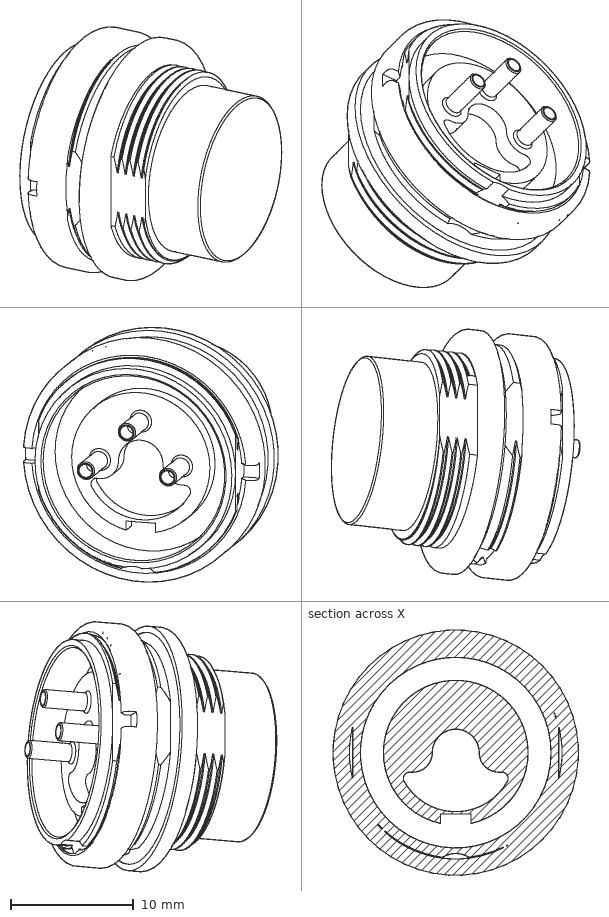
import cadquery as cq
import math


LIP_END_X = 1.0
NUT_REAR_X = 1.47
NUT_FRONT_X = 4.45
RELIEF_X = 5.2
SEAL_X = 6.05
FLANGE_REAR_X = 6.45
FLANGE_FRONT_X = 7.95
THREAD_END_X = 11.18
BARREL_END_X = 15.95

LIP_RADIUS = 8.4
RELIEF_RADIUS = 8.65
FLANGE_RADIUS = 10.0
SEAL_RADIUS = 9.47
SEAL_ROUND = 0.35
BARREL_RADIUS = 13.8 / 2
BARREL_CHAMFER = 0.15
RIM_FILLET = 0.5

PITCH = 0.75
THREAD_DEPTH = 0.4
CREST_FLAT = 0.1
ROOT_FLAT = 0.1
CUT_CLEARANCE = 0.05
REAR_CREST_RADIUS = 9.0
REAR_GROOVE_X = 1.07
REAR_GROOVE_START = -90.0
REAR_TURNS = 5.25
REAR_FLAT_Y = 8.4
FRONT_CREST_RADIUS = 8.0
FRONT_GROOVE_X = 8.31
FRONT_GROOVE_START = 30.0
FRONT_TURNS = 4.75
FRONT_FLAT_Y = 7.4
FRONT_CHAMFER_LENGTH = 0.25

KEYWAY_RADIUS = 2.0
KEYWAY_TOP_Z = -8.22

BORE_RADIUS = 15.5 / 2
BORE_CHAMFER = 0.15
FLOOR_X = 3.4

DISC_RADIUS = 5.9
DISC_FACE_X = 2.0
DISC_KEY_WIDTH = 2.48
DISC_KEY_TOP_Z = -5.0
RECESS_DEPTH = 1.5
RECESS_NECK_RADIUS = 1.9
RECESS_OUTER_RADIUS = 4.8
RECESS_CORNER_FILLET = 0.5

PIN_TIP_X = -1.85
PIN_RADIUS = 1.48 / 2
PIN_CHAMFER = 0.1
PIN_CIRCLE_RADIUS = 3.5
PIN_ANGLES = (0, 90, 180)
PIN_FOOT_RADIUS = 0.92
PIN_FOOT_LENGTH = 0.25
PIN_HOLE_RADIUS = 1.1 / 2
PIN_HOLE_DEPTH = 2.0
DRILL_POINT_ANGLE = 118.0

NUT_RADIUS = 10.0
NUT_ROOT_CLEARANCE = 0.05
NUT_BORE_RADIUS = REAR_CREST_RADIUS - THREAD_DEPTH + NUT_ROOT_CLEARANCE
NUT_MOUTH_RADIUS = 18.3 / 2
NUT_SLOT_WIDTH = 1.26
NUT_SLOT_DEPTH = 1.02


def revolve_about_x(points):
    """Closed (x, radius) outline turned about the X axis."""
    return cq.Workplane("XY").polyline(points).close().revolve(360, (0, 0, 0), (1, 0, 0))


def disc_between(start_x, end_x, radius):
    return cq.Workplane("YZ").workplane(offset=start_x).circle(radius).extrude(end_x - start_x)


def slab(start_x, end_x, half_width):
    """Block bounded by the two flats at y = +half_width and y = -half_width."""
    length = end_x - start_x
    height = 2 * FLANGE_RADIUS
    return cq.Workplane("XY").box(length, 2 * half_width, height).translate((start_x + length / 2, 0, 0))


def thread_groove(start_x, start_angle, turns, crest_radius):
    """Helical V groove centred on start_x at its start; start_angle is counted from +Y towards +Z."""
    flank_slope = (PITCH - CREST_FLAT - ROOT_FLAT) / 2 / THREAD_DEPTH
    root_half = ROOT_FLAT / 2
    mouth_half = root_half + flank_slope * (THREAD_DEPTH + CUT_CLEARANCE)
    root_radius = crest_radius - THREAD_DEPTH
    mouth_radius = crest_radius + CUT_CLEARANCE
    helix = cq.Wire.makeHelix(PITCH, PITCH * turns, crest_radius)
    groove = (
        cq.Workplane("XZ")
        .polyline([
            (root_radius, -root_half),
            (mouth_radius, -mouth_half),
            (mouth_radius, mouth_half),
            (root_radius, root_half),
        ])
        .close()
        .sweep(cq.Workplane(helix), isFrenet=True)
    )
    groove = groove.rotate((0, 0, 0), (1, 1, 1), 120)
    groove = groove.rotate((0, 0, 0), (1, 0, 0), start_angle)
    return groove.translate((start_x, 0, 0))


def make_rear_thread():
    body = revolve_about_x([
        (0, 0),
        (0, LIP_RADIUS),
        (LIP_END_X, LIP_RADIUS),
        (LIP_END_X, REAR_CREST_RADIUS),
        (RELIEF_X, REAR_CREST_RADIUS),
        (SEAL_X, RELIEF_RADIUS),
        (SEAL_X, 0),
    ])
    body = body.cut(thread_groove(REAR_GROOVE_X, REAR_GROOVE_START, REAR_TURNS, REAR_CREST_RADIUS))
    keyway = disc_between(0, SEAL_X, KEYWAY_RADIUS).translate((0, 0, KEYWAY_TOP_Z - KEYWAY_RADIUS))
    return body.intersect(slab(0, SEAL_X, REAR_FLAT_Y)).cut(keyway)


def make_flange():
    seal = disc_between(SEAL_X, FLANGE_REAR_X, SEAL_RADIUS).faces("<X").edges().fillet(SEAL_ROUND)
    rim = disc_between(FLANGE_REAR_X, FLANGE_FRONT_X, FLANGE_RADIUS).faces(">X").edges().fillet(RIM_FILLET)
    return rim.union(seal)


def make_front_thread():
    blank_end_x = FRONT_GROOVE_X + PITCH * (FRONT_TURNS + 1)
    body = disc_between(FLANGE_FRONT_X, blank_end_x, FRONT_CREST_RADIUS)
    body = body.cut(thread_groove(FRONT_GROOVE_X, FRONT_GROOVE_START, FRONT_TURNS, FRONT_CREST_RADIUS))
    chamfered_end = revolve_about_x([
        (FLANGE_FRONT_X, 0),
        (FLANGE_FRONT_X, FRONT_CREST_RADIUS),
        (THREAD_END_X - FRONT_CHAMFER_LENGTH, FRONT_CREST_RADIUS),
        (THREAD_END_X, FRONT_CREST_RADIUS - THREAD_DEPTH),
        (THREAD_END_X, 0),
    ])
    envelope = chamfered_end.intersect(slab(FLANGE_FRONT_X, THREAD_END_X, FRONT_FLAT_Y))
    return body.intersect(envelope)


def make_barrel():
    barrel = disc_between(THREAD_END_X, BARREL_END_X, BARREL_RADIUS)
    return barrel.faces(">X").edges().chamfer(BARREL_CHAMFER)


def make_cavity():
    return revolve_about_x([
        (0, 0),
        (0, BORE_RADIUS + BORE_CHAMFER),
        (BORE_CHAMFER, BORE_RADIUS),
        (FLOOR_X, BORE_RADIUS),
        (FLOOR_X, 0),
    ])


def make_disc():
    disc = disc_between(DISC_FACE_X, FLOOR_X, DISC_RADIUS)
    key_slot = (
        cq.Workplane("YZ")
        .workplane(offset=DISC_FACE_X)
        .center(0, DISC_KEY_TOP_Z - DISC_RADIUS / 2)
        .rect(DISC_KEY_WIDTH, DISC_RADIUS)
        .extrude(FLOOR_X - DISC_FACE_X)
    )
    return disc.cut(key_slot)


def make_recess():
    """Bell-shaped pocket that curves round the two side pins."""
    neck = RECESS_NECK_RADIUS
    side_radius = PIN_CIRCLE_RADIUS - neck
    corner_y = math.sqrt(RECESS_OUTER_RADIUS**2 - side_radius**2)
    bend = side_radius * math.sqrt(0.5)
    pocket = (
        cq.Workplane("YZ")
        .workplane(offset=DISC_FACE_X)
        .moveTo(-neck, 0)
        .threePointArc((0, neck), (neck, 0))
        .threePointArc((PIN_CIRCLE_RADIUS - bend, -bend), (PIN_CIRCLE_RADIUS, -side_radius))
        .lineTo(corner_y, -side_radius)
        .threePointArc((0, -RECESS_OUTER_RADIUS), (-corner_y, -side_radius))
        .lineTo(-PIN_CIRCLE_RADIUS, -side_radius)
        .threePointArc((bend - PIN_CIRCLE_RADIUS, -bend), (-neck, 0))
        .close()
        .extrude(RECESS_DEPTH)
    )
    corners = pocket.edges("|X").edges("<Y or >Y")
    return corners.fillet(RECESS_CORNER_FILLET)


def make_pin():
    """Pin on the X axis with a drilled tip and a flared foot on the disc."""
    foot_x = DISC_FACE_X - PIN_FOOT_LENGTH
    hole_end_x = PIN_TIP_X + PIN_HOLE_DEPTH
    point_length = PIN_HOLE_RADIUS / math.tan(math.radians(DRILL_POINT_ANGLE / 2))
    return revolve_about_x([
        (hole_end_x + point_length, 0),
        (hole_end_x, PIN_HOLE_RADIUS),
        (PIN_TIP_X, PIN_HOLE_RADIUS),
        (PIN_TIP_X, PIN_RADIUS - PIN_CHAMFER),
        (PIN_TIP_X + PIN_CHAMFER, PIN_RADIUS),
        (foot_x, PIN_RADIUS),
        (DISC_FACE_X, PIN_FOOT_RADIUS),
        (FLOOR_X, PIN_FOOT_RADIUS),
        (FLOOR_X, 0),
    ])


def make_nut():
    nut = disc_between(NUT_REAR_X, NUT_FRONT_X, NUT_RADIUS).edges().fillet(RIM_FILLET)
    mouth_depth = NUT_MOUTH_RADIUS - NUT_BORE_RADIUS
    bore = revolve_about_x([
        (NUT_REAR_X, 0),
        (NUT_REAR_X, NUT_MOUTH_RADIUS),
        (NUT_REAR_X + mouth_depth, NUT_BORE_RADIUS),
        (NUT_FRONT_X, NUT_BORE_RADIUS),
        (NUT_FRONT_X, 0),
    ])
    slot = (
        cq.Workplane("XY")
        .box(NUT_SLOT_DEPTH, 2 * NUT_RADIUS, NUT_SLOT_WIDTH)
        .translate((NUT_REAR_X + NUT_SLOT_DEPTH / 2, 0, 0))
    )
    return nut.cut(bore).cut(slot)


result = make_rear_thread().cut(make_cavity()).union(make_disc()).cut(make_recess())
for pin_angle in PIN_ANGLES:
    pin_y = PIN_CIRCLE_RADIUS * math.cos(math.radians(pin_angle))
    pin_z = PIN_CIRCLE_RADIUS * math.sin(math.radians(pin_angle))
    result = result.union(make_pin().translate((0, pin_y, pin_z)))
for section in (make_flange(), make_front_thread(), make_barrel(), make_nut()):
    result = result.union(section)